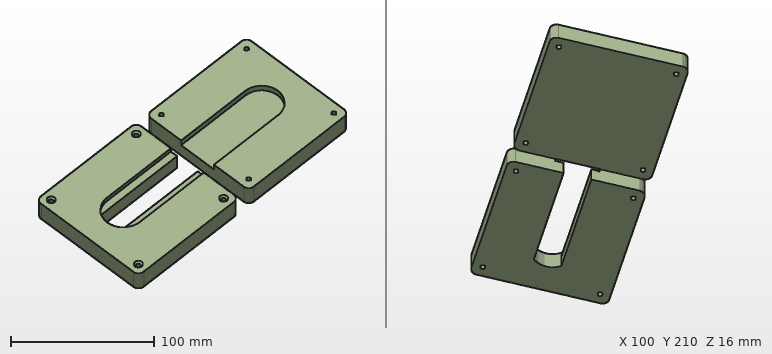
import cadquery as cq

plate_side = 100.0
plate_thickness = 16.0
corner_radius = 5.0
plate_gap = 10.0
plate_offset = (plate_side + plate_gap) / 2

slot_width = 32.0
slot_end_margin = 20.0
base_pocket_depth = 5.0
cover_ledge_depth = 3.5
cover_opening_width = 20.0

hole_inset = 7.5
hole_spacing = plate_side - 2 * hole_inset
screw_hole_diameter = 3.4
countersink_diameter = 6.3
countersink_angle = 90.0


def plate(center_y):
    """Square plate with rounded vertical corners, resting on Z = 0."""
    return (
        cq.Workplane("XY")
        .center(0, center_y)
        .rect(plate_side, plate_side)
        .extrude(plate_thickness)
        .edges("|Z")
        .fillet(corner_radius)
    )


def slot(direction, depth):
    """Slot cutter from the top face, running outward along direction (+1 or -1) in Y."""
    radius = slot_width / 2
    mouth_y = direction * plate_gap / 2
    end_y = mouth_y + direction * (plate_side - slot_end_margin)
    arc_start_y = end_y - direction * radius
    return (
        cq.Workplane("XY", origin=(0, 0, plate_thickness - depth))
        .moveTo(-radius, mouth_y)
        .lineTo(-radius, arc_start_y)
        .threePointArc((0, end_y), (radius, arc_start_y))
        .lineTo(radius, mouth_y)
        .close()
        .extrude(depth)
    )


def hole_positions(body, center_y):
    """Four screw positions on the top face of a plate."""
    return (
        body.faces(">Z")
        .workplane(origin=(0, center_y, plate_thickness))
        .rect(hole_spacing, hole_spacing, forConstruction=True)
        .vertices()
    )


def make_base_plate():
    """Plate with a shallow pocket and plain screw holes."""
    body = plate(plate_offset).cut(slot(1, base_pocket_depth))
    return hole_positions(body, plate_offset).hole(screw_hole_diameter)


def make_cover_plate():
    """Plate with a stepped through slot and countersunk screw holes."""
    opening_strip = (
        cq.Workplane("XY")
        .center(0, -plate_offset)
        .rect(cover_opening_width, plate_side)
        .extrude(plate_thickness)
    )
    opening = slot(-1, plate_thickness).intersect(opening_strip)
    body = plate(-plate_offset).cut(slot(-1, cover_ledge_depth)).cut(opening)
    return hole_positions(body, -plate_offset).cskHole(
        screw_hole_diameter, countersink_diameter, countersink_angle
    )


base_plate = make_base_plate()
cover_plate = make_cover_plate()

result = cq.Compound.makeCompound([base_plate.val(), cover_plate.val()])